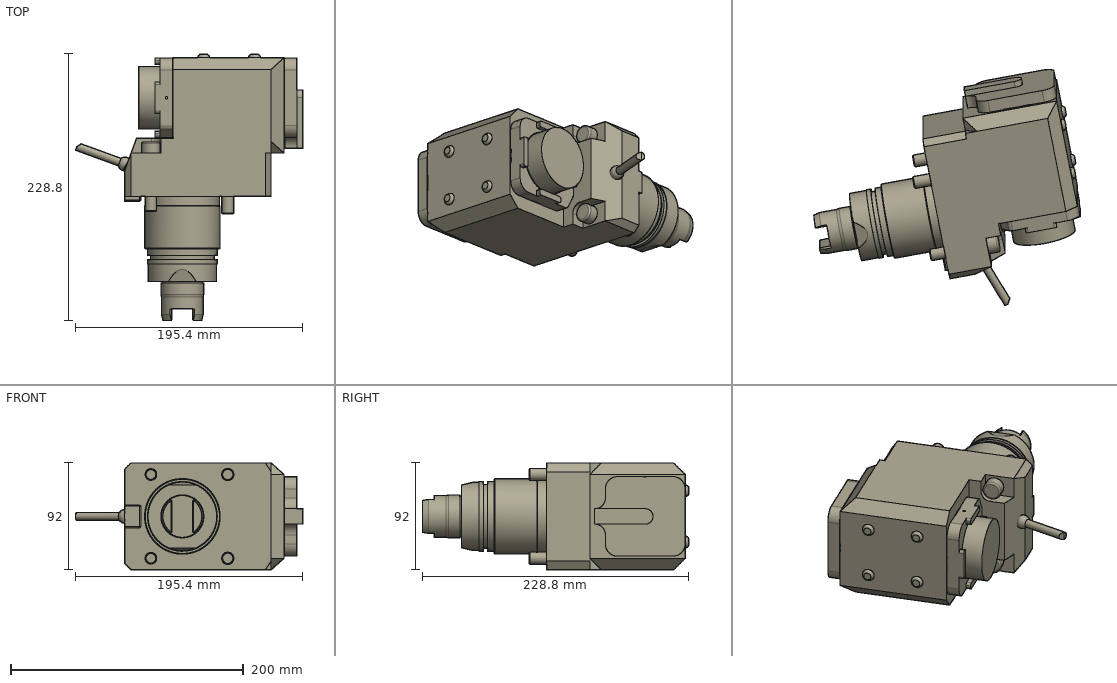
import cadquery as cq
import math


HALF_HEIGHT = 46.0
FOOT_LEFT = -49.7
FOOT_RIGHT = 76.3
FOOT_CHAMFER = 5.6
FOOT_RIGHT_BEVEL_X = 5.0
FOOT_RIGHT_BEVEL_Z = 7.7
FOOT_TOP = 37.2
SHOULDER_LEFT = -18.5
SHOULDER_TOP = 50.2
HEAD_LEFT = -7.9
HEAD_RIGHT = 87.4
HEAD_BACK = 119.2
HEAD_CHAMFER = 10.0
SLANT_ANGLE = 20.0
SLANT_START_Y = 21.9

OUTPUT_Y = 84.8
FLANGE_HALF = 34.2
FLANGE_NEAR = OUTPUT_Y - FLANGE_HALF
FLANGE_BACK = OUTPUT_Y + FLANGE_HALF
FLANGE_CORNER_RADIUS = 10.5
FLANGE_GAP = 0.5
FLANGE_FACE = -19.3
FLANGE_CUT_Z = 13.5
FLANGE_CUT_ANGLE = 60.0
FLANGE_CUT_RADIUS = 4.0
OUTPUT_DIAMETER = 54.0
OUTPUT_RECESS_DIAMETER = 55.0
OUTPUT_RECESS_DEPTH = 1.0
OUTPUT_FACE = -37.5
PAD_LENGTH = 27.0
PAD_WIDTH = 5.6
PAD_HEIGHT = 4.2
PAD_CORNER_RADIUS = 2.0
COOLANT_HOLE_DIAMETER = 2.1
COOLANT_HOLE_DEPTH = 5.0
COOLANT_HOLE_X = -13.6
COVER_FACE = 98.4
TAB_FACE = 103.5
TAB_WIDTH = 13.2
TAB_TOP = 91.5
TAB_BOTTOM = 41.4

BOLT_X_LEFT = -27.0
BOLT_X_RIGHT = 39.0
BOLT_Z = 36.0
BOLT_HEAD_DIAMETER = 16.0
BOLT_HEAD_HEIGHT = 9.7
BOLT_HEAD_FILLET = 1.5
BOLT_POCKET_RADIUS = 8.2
BOLT_LEFT_DIAMETER = 10.0
BOLT_RIGHT_DIAMETER = 10.5
BOLT_LEFT_REACH = 13.0
BOLT_RIGHT_REACH = 15.1
BOLT_TIP_CHAMFER = 0.8

BUTTON_XS = (18.3, 62.0)
BUTTON_Z = 22.0
BUTTON_DIAMETER = 10.5
BUTTON_TOP_DIAMETER = 6.37
BUTTON_HEIGHT = 3.0
BUTTON_BULGE = 0.3

KEY_RIGHT = -35.7
KEY_WIDTH = 19.6
KEY_HEIGHT = 4.2
KEY_CHAMFER = 1.0

BALL_RADIUS = 6.0
BALL_X = -49.3
BALL_Y = 27.9
PIPE_DIAMETER = 7.0
PIPE_END_X = -91.9
PIPE_BEVEL_LENGTH = 2.8
PIPE_BEVEL_DEPTH = 3.8

NECK_DIAMETER = 64.0
NECK_END = -8.3
NECK_GROOVE_DIAMETER = 60.0
NECK_GROOVE_WIDTH = 0.5
SLEEVE_DIAMETER = 65.0
SLEEVE_END = -45.0
SLEEVE_CHAMFER = 0.6
COLLAR_DIAMETER = 60.0
RING_GROOVE_START = -50.5
RING_GROOVE_END = -54.3
RING_GROOVE_DIAMETER = 55.0
LAND_END = -58.1
NOSE_DIAMETER = 59.0
NOSE_END = -73.1
SHAFT_GROOVE_DIAMETER = 35.0
SHAFT_GROOVE_END = -74.5
FLAT_START = -62.7
FLAT_DROP = 2.5
SHAFT_DIAMETER = 37.0
SHAFT_END = -84.0
TIP_STEP_LENGTH = 2.5
TIP_DIAMETER = 36.0
TIP_END = -106.6
TIP_TAPER_START = -101.4
TIP_TAPER = 1.3
SLOT_WIDTH = 17.8
SLOT_BOTTOM = -96.6
SLOT_CHAMFER = 0.7
PRONG_BEVEL_X = 1.6
PRONG_BEVEL_Z = 13.3


def block(x0, x1, y0, y1, z0, z1):
    """Axis-aligned box between the given limits."""
    box = cq.Workplane("XY").box(x1 - x0, y1 - y0, z1 - z0, centered=False)
    return box.translate((x0, y0, z0))


def rod(axis_start, direction, diameter, length):
    """Cylinder that starts at a point and runs along a direction."""
    plane = cq.Plane(origin=axis_start, normal=direction)
    return cq.Workplane(plane).circle(diameter / 2).extrude(length)


def yz_plane(x):
    """Workplane at X = x with local axes along +Y and +Z."""
    return cq.Workplane("YZ", origin=(x, 0, 0))


def make_foot():
    foot = block(FOOT_LEFT, FOOT_RIGHT, 0, SHOULDER_TOP, -HALF_HEIGHT, HALF_HEIGHT)
    foot = foot.edges("|Y and <X").chamfer(FOOT_CHAMFER)
    slant_run = SHOULDER_TOP - SLANT_START_Y
    slant_end_x = FOOT_LEFT + slant_run * math.tan(math.radians(SLANT_ANGLE))
    slant = (
        cq.Workplane("XY", origin=(0, 0, -HALF_HEIGHT))
        .moveTo(FOOT_LEFT, SLANT_START_Y)
        .lineTo(slant_end_x, SHOULDER_TOP)
        .lineTo(FOOT_LEFT, SHOULDER_TOP)
        .close()
        .extrude(2 * HALF_HEIGHT)
    )
    foot = foot.cut(slant)
    for side in (-1, 1):
        bevel = (
            cq.Workplane("XZ")
            .moveTo(FOOT_RIGHT, side * HALF_HEIGHT)
            .lineTo(FOOT_RIGHT - FOOT_RIGHT_BEVEL_X, side * HALF_HEIGHT)
            .lineTo(FOOT_RIGHT, side * (HALF_HEIGHT - FOOT_RIGHT_BEVEL_Z))
            .close()
            .extrude(-FOOT_TOP)
        )
        foot = foot.cut(bevel).cut(make_bolt_pocket(side))
    return foot


def make_bolt_pocket(side):
    """Corner pocket beside the slanted nose, rounded around the bolt head."""
    inner_z = BOLT_Z - BOLT_POCKET_RADIUS
    z_limits = sorted((side * inner_z, side * HALF_HEIGHT))
    pocket = block(FOOT_LEFT, SHOULDER_LEFT, FOOT_TOP, SHOULDER_TOP, *z_limits)
    inner_edge = "<Z" if side > 0 else ">Z"
    return pocket.edges(f"|Y and >X and {inner_edge}").fillet(BOLT_POCKET_RADIUS)


def make_head():
    head = block(HEAD_LEFT, HEAD_RIGHT, FOOT_TOP, HEAD_BACK, -HALF_HEIGHT, HALF_HEIGHT)
    head = head.edges("|X").chamfer(HEAD_CHAMFER)
    for side in (-1, 1):
        bevel = (
            cq.Workplane("XZ")
            .moveTo(HEAD_RIGHT, side * HALF_HEIGHT)
            .lineTo(FOOT_RIGHT, side * HALF_HEIGHT)
            .lineTo(HEAD_RIGHT, side * (HALF_HEIGHT - HEAD_CHAMFER))
            .close()
            .extrude(-HEAD_BACK)
        )
        head = head.cut(bevel)
    return head


def flange_plate(x0, x1):
    """Square plate whose two back corners are rounded."""
    plate = block(x0, x1, FLANGE_NEAR, FLANGE_BACK, -FLANGE_HALF, FLANGE_HALF)
    return plate.edges("|X and >Y").fillet(FLANGE_CORNER_RADIUS)


def gap_spigot(x0, x1):
    """Thin disc that joins a plate to the head across the joint gap."""
    radius = FLANGE_HALF - FLANGE_GAP
    return yz_plane(x0).center(OUTPUT_Y, 0).circle(radius).extrude(x1 - x0)


def make_output():
    joint = HEAD_LEFT - FLANGE_GAP
    plate = flange_plate(FLANGE_FACE, joint)
    cut_tip_y = FLANGE_NEAR + FLANGE_CUT_Z / math.tan(math.radians(FLANGE_CUT_ANGLE))
    for side in (-1, 1):
        corner = (
            yz_plane(FLANGE_FACE)
            .moveTo(FLANGE_NEAR, side * FLANGE_HALF)
            .lineTo(cut_tip_y, side * FLANGE_HALF)
            .lineTo(FLANGE_NEAR, side * (FLANGE_HALF - FLANGE_CUT_Z))
            .close()
            .extrude(joint - FLANGE_FACE)
        )
        plate = plate.cut(corner)
        cut_edge = cq.selectors.NearestToPointSelector(
            ((FLANGE_FACE + joint) / 2, cut_tip_y, side * FLANGE_HALF)
        )
        plate = plate.edges(cut_edge).fillet(FLANGE_CUT_RADIUS)

    recess = (
        yz_plane(FLANGE_FACE)
        .center(OUTPUT_Y, 0)
        .circle(OUTPUT_RECESS_DIAMETER / 2)
        .extrude(OUTPUT_RECESS_DEPTH)
    )
    hole_top = (COOLANT_HOLE_X, OUTPUT_Y, FLANGE_HALF)
    hole = rod(hole_top, (0, 0, -1), COOLANT_HOLE_DIAMETER, COOLANT_HOLE_DEPTH)
    plate = plate.cut(recess).cut(hole)
    disc = (
        yz_plane(OUTPUT_FACE)
        .center(OUTPUT_Y, 0)
        .circle(OUTPUT_DIAMETER / 2)
        .extrude(FLANGE_FACE + OUTPUT_RECESS_DEPTH - OUTPUT_FACE)
    )
    output = plate.union(disc).union(gap_spigot(joint, HEAD_LEFT))

    pad_center = FLANGE_HALF - PAD_WIDTH / 2
    for quarter in range(4):
        pad = (
            yz_plane(FLANGE_FACE - PAD_HEIGHT)
            .center(OUTPUT_Y, pad_center)
            .rect(PAD_LENGTH, PAD_WIDTH)
            .extrude(PAD_HEIGHT)
            .edges("|X")
            .fillet(PAD_CORNER_RADIUS)
            .rotate((0, OUTPUT_Y, 0), (1, OUTPUT_Y, 0), 90 * quarter)
        )
        output = output.union(pad)
    return output


def make_cover():
    joint = HEAD_RIGHT + FLANGE_GAP
    plate = flange_plate(joint, COVER_FACE).edges("|X and <Y").fillet(FLANGE_CORNER_RADIUS)
    half_tab = TAB_WIDTH / 2
    tab = (
        yz_plane(joint)
        .moveTo(TAB_BOTTOM, -half_tab)
        .lineTo(TAB_TOP - half_tab, -half_tab)
        .threePointArc((TAB_TOP, 0), (TAB_TOP - half_tab, half_tab))
        .lineTo(TAB_BOTTOM, half_tab)
        .close()
        .extrude(TAB_FACE - joint)
    )
    blend = FLANGE_NEAR - TAB_BOTTOM
    neck = (
        yz_plane(joint)
        .moveTo(FLANGE_NEAR, -half_tab - blend)
        .radiusArc((TAB_BOTTOM, -half_tab), -blend)
        .lineTo(TAB_BOTTOM, half_tab)
        .radiusArc((FLANGE_NEAR, half_tab + blend), -blend)
        .close()
        .extrude(COVER_FACE - joint)
    )
    return plate.union(neck).union(tab).union(gap_spigot(HEAD_RIGHT, joint))


def make_bolts():
    bolts = cq.Workplane("XY")
    shanks = (
        (BOLT_X_LEFT, BOLT_LEFT_DIAMETER, BOLT_LEFT_REACH),
        (BOLT_X_RIGHT, BOLT_RIGHT_DIAMETER, BOLT_RIGHT_REACH),
    )
    for side in (-1, 1):
        z = side * BOLT_Z
        for x, diameter, reach in shanks:
            shank = rod((x, 0, z), (0, -1, 0), diameter, reach)
            bolts = bolts.add(shank.faces("<Y").chamfer(BOLT_TIP_CHAMFER))
        head = rod((BOLT_X_LEFT, FOOT_TOP, z), (0, 1, 0), BOLT_HEAD_DIAMETER, BOLT_HEAD_HEIGHT)
        bolts = bolts.add(head.faces(">Y").fillet(BOLT_HEAD_FILLET))
    return bolts.combine()


def make_buttons():
    """Domed screw heads on the back face."""
    base_radius = BUTTON_DIAMETER / 2
    top_radius = BUTTON_TOP_DIAMETER / 2
    dome_point = ((base_radius + top_radius) / 2 + BUTTON_BULGE, BUTTON_HEIGHT / 2 + BUTTON_BULGE)
    button = (
        cq.Workplane("XY")
        .lineTo(base_radius, 0)
        .threePointArc(dome_point, (top_radius, BUTTON_HEIGHT))
        .lineTo(0, BUTTON_HEIGHT)
        .close()
        .revolve(360, (0, 0, 0), (0, 1, 0))
    )
    buttons = cq.Workplane("XY")
    for x in BUTTON_XS:
        for z in (-BUTTON_Z, BUTTON_Z):
            buttons = buttons.add(button.translate((x, HEAD_BACK, z)))
    return buttons.combine()


def make_key():
    key = block(FOOT_LEFT, KEY_RIGHT, -KEY_HEIGHT, 0, -KEY_WIDTH / 2, KEY_WIDTH / 2)
    key = key.edges("|Y and >X").chamfer(KEY_CHAMFER)
    return key.faces("<Y").edges("not <X").chamfer(KEY_CHAMFER)


def make_pipe():
    """Ball joint and pipe, square to the slanted face."""
    angle = math.radians(SLANT_ANGLE)
    direction = (-math.cos(angle), math.sin(angle), 0)
    reach_x = BALL_X - PIPE_END_X
    radius = PIPE_DIAMETER / 2
    length = (reach_x - radius * math.sin(angle)) / math.cos(angle)
    pipe = rod((BALL_X, BALL_Y, 0), direction, PIPE_DIAMETER, length)
    tip_plane = cq.Plane(origin=(BALL_X, BALL_Y, -radius), xDir=direction, normal=(0, 0, 1))
    bevel = (
        cq.Workplane(tip_plane)
        .moveTo(length, -radius)
        .lineTo(length - PIPE_BEVEL_LENGTH, -radius)
        .lineTo(length, PIPE_BEVEL_DEPTH - radius)
        .close()
        .extrude(PIPE_DIAMETER)
    )
    pipe = pipe.cut(bevel)
    ball = cq.Workplane("XY").sphere(BALL_RADIUS).translate((BALL_X, BALL_Y, 0))
    return ball.union(pipe)


def make_spindle():
    neck = NECK_DIAMETER / 2
    neck_groove = NECK_GROOVE_DIAMETER / 2
    sleeve = SLEEVE_DIAMETER / 2
    collar = COLLAR_DIAMETER / 2
    ring_groove = RING_GROOVE_DIAMETER / 2
    nose = NOSE_DIAMETER / 2
    shaft_groove = SHAFT_GROOVE_DIAMETER / 2
    shaft = SHAFT_DIAMETER / 2
    tip = TIP_DIAMETER / 2
    outline = [
        (0, 0),
        (neck, 0),
        (neck, NECK_END + NECK_GROOVE_WIDTH),
        (neck_groove, NECK_END + NECK_GROOVE_WIDTH),
        (neck_groove, NECK_END),
        (sleeve, NECK_END),
        (sleeve, SLEEVE_END + SLEEVE_CHAMFER),
        (sleeve - SLEEVE_CHAMFER, SLEEVE_END),
        (collar, SLEEVE_END),
        (collar, RING_GROOVE_START),
        (ring_groove, RING_GROOVE_START),
        (ring_groove, RING_GROOVE_END),
        (collar, RING_GROOVE_END),
        (collar, LAND_END),
        (nose, LAND_END),
        (nose, NOSE_END),
        (shaft_groove, NOSE_END),
        (shaft_groove, SHAFT_GROOVE_END),
        (shaft, SHAFT_GROOVE_END),
        (shaft, SHAFT_END),
        (tip, SHAFT_END - TIP_STEP_LENGTH),
        (tip, TIP_TAPER_START),
        (tip - TIP_TAPER, TIP_END),
        (0, TIP_END),
    ]
    spindle = cq.Workplane("XY").polyline(outline).close().revolve(360, (0, 0, 0), (0, 1, 0))
    for side in (-1, 1):
        flat = (
            yz_plane(-nose)
            .moveTo(FLAT_START, side * nose)
            .lineTo(NOSE_END, side * nose)
            .lineTo(NOSE_END, side * (nose - FLAT_DROP))
            .close()
            .extrude(2 * nose)
        )
        spindle = spindle.cut(flat)
    slot = block(-SLOT_WIDTH / 2, SLOT_WIDTH / 2, TIP_END, SLOT_BOTTOM, -tip, tip)
    slot = slot.union(make_slot_mouth())
    for side_x in (-1, 1):
        for side_z in (-1, 1):
            slot = slot.union(make_prong_bevel(side_x, side_z))
    return spindle.cut(slot)


def make_slot_mouth():
    """Wedge that chamfers the two long edges of the drive slot at the spindle end."""
    half_slot = SLOT_WIDTH / 2
    half_length = TIP_DIAMETER / 2
    return (
        cq.Workplane("XY", origin=(0, 0, -half_length))
        .moveTo(-half_slot - SLOT_CHAMFER, TIP_END)
        .lineTo(half_slot + SLOT_CHAMFER, TIP_END)
        .lineTo(half_slot, TIP_END + SLOT_CHAMFER)
        .lineTo(-half_slot, TIP_END + SLOT_CHAMFER)
        .close()
        .extrude(2 * half_length)
    )


def make_prong_bevel(side_x, side_z):
    """Bevel where a drive slot wall meets the round outside of the spindle."""
    half_slot = SLOT_WIDTH / 2
    outer_x = half_slot + PRONG_BEVEL_X
    outer_z = math.sqrt((TIP_DIAMETER / 2) ** 2 - outer_x**2)
    return (
        cq.Workplane("XZ", origin=(0, SLOT_BOTTOM, 0))
        .moveTo(side_x * half_slot, side_z * PRONG_BEVEL_Z)
        .lineTo(side_x * outer_x, side_z * outer_z)
        .lineTo(side_x * outer_x, side_z * TIP_DIAMETER / 2)
        .lineTo(side_x * half_slot, side_z * TIP_DIAMETER / 2)
        .close()
        .extrude(SLOT_BOTTOM - TIP_END)
    )


result = make_foot().union(make_head())
for feature in (
    make_output(),
    make_cover(),
    make_bolts(),
    make_buttons(),
    make_key(),
    make_pipe(),
    make_spindle(),
):
    result = result.union(feature)